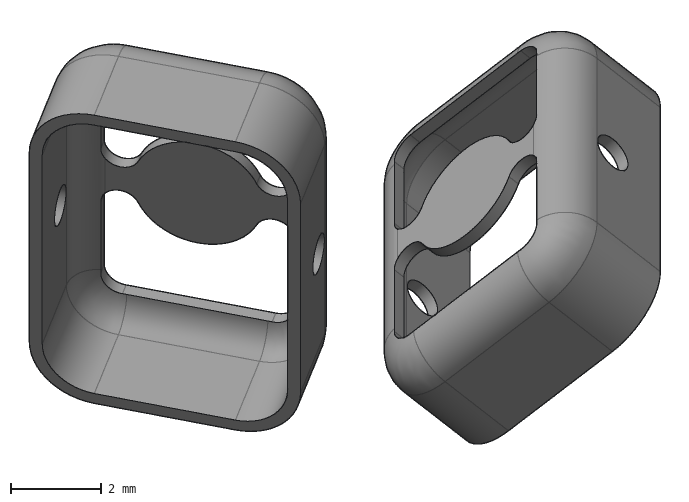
import cadquery as cq
import math

width = 6.25
depth = 3.0
height = 8.7
wall = 0.3
corner_radius = 1.5
floor_edge_radius = 1.0

inner_corner_radius = corner_radius - wall
inner_floor_radius = floor_edge_radius - wall

window_inset = 0.9
window_width = width - 2 * window_inset
window_height = height - 2 * window_inset
window_corner_radius = 0.5
disc_radius = 1.5
relief_radius = 0.45

side_hole_diameter = 0.95

open_face_y = -depth / 2


def rounded_block(size_x, size_z, length, radius):
    """Block with rounded corners, running from the open face toward +Y."""
    return (
        cq.Workplane("XZ", origin=(0, open_face_y, 0))
        .rect(size_x, size_z)
        .extrude(-length)
        .edges("|Y")
        .fillet(radius)
    )


def make_tray():
    outer = rounded_block(width, height, depth, corner_radius)
    outer = outer.faces(">Y").edges().fillet(floor_edge_radius)
    cavity = rounded_block(width - 2 * wall, height - 2 * wall, depth - wall, inner_corner_radius)
    cavity = cavity.faces(">Y").edges().fillet(inner_floor_radius)
    return outer.cut(cavity)


def make_upper_window():
    """Opening above the disc; its lower corners are arcs tangent to the window side and the disc."""
    side_x = window_width / 2
    top_z = window_height / 2
    relief_x = side_x - relief_radius
    center_distance = disc_radius + relief_radius
    relief_z = math.sqrt(center_distance**2 - relief_x**2)
    relief_bottom_z = relief_z - relief_radius
    tangent_x = relief_x * disc_radius / center_distance
    tangent_z = relief_z * disc_radius / center_distance
    opening = (
        cq.Workplane("XZ", origin=(0, open_face_y, 0))
        .moveTo(-side_x, relief_z)
        .lineTo(-side_x, top_z)
        .lineTo(side_x, top_z)
        .lineTo(side_x, relief_z)
        .threePointArc((relief_x, relief_bottom_z), (tangent_x, tangent_z))
        .threePointArc((0, disc_radius), (-tangent_x, tangent_z))
        .threePointArc((-relief_x, relief_bottom_z), (-side_x, relief_z))
        .close()
        .extrude(-depth)
    )
    return opening.faces(">Z").edges("|Y").fillet(window_corner_radius)


def make_side_holes():
    return cq.Workplane("YZ").circle(side_hole_diameter / 2).extrude(width, both=True)


upper_window = make_upper_window()
lower_window = upper_window.mirror("XY")
result = make_tray().cut(upper_window).cut(lower_window).cut(make_side_holes())